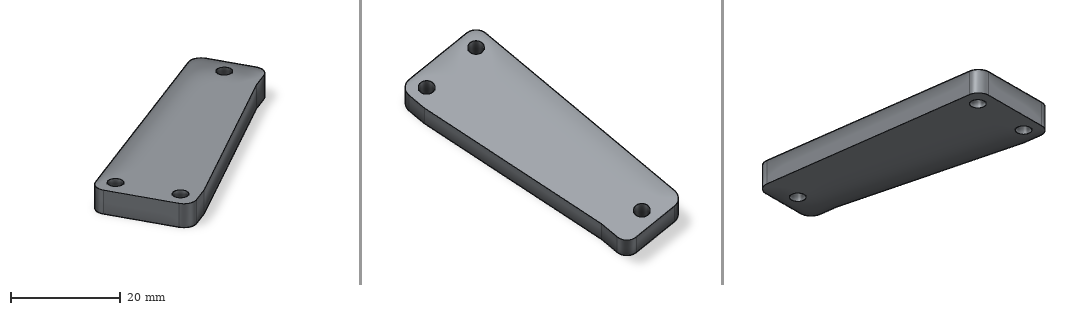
import cadquery as cq

length = 54.3
wide_width = 19.75
narrow_width = 14.75
thickness = 5.0
corner_radius = 2.5
straight_length = 6.5
hole_diameter = 3.05
hole_inset = 3.55


def tapered_plate():
    """Plate with one straight long side, one tapered side and rounded corners."""
    outline = [
        (0, 0),
        (wide_width, 0),
        (wide_width, straight_length),
        (narrow_width, length - straight_length),
        (narrow_width, length),
        (0, length),
    ]
    plate = cq.Workplane("XY").polyline(outline).close().extrude(thickness)
    end_corners = plate.faces("<Y or >Y").edges("|Z")
    return end_corners.fillet(corner_radius)


def through_holes():
    """Two holes at the wide end and one centred across the narrow end."""
    centers = [
        (hole_inset, hole_inset),
        (wide_width - hole_inset, hole_inset),
        (narrow_width / 2, length - hole_inset),
    ]
    return cq.Workplane("XY").pushPoints(centers).circle(hole_diameter / 2).extrude(thickness)


result = tapered_plate().cut(through_holes())